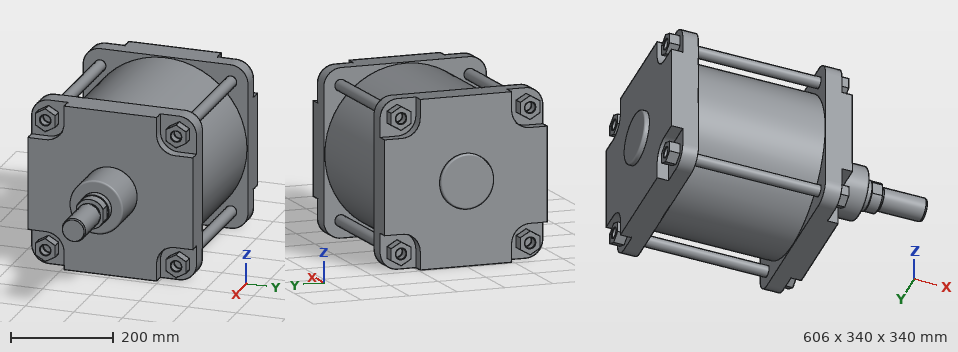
import cadquery as cq

TOTAL_LENGTH = 606.0
REAR_FACE_X = 9.5
REAR_RECESS_DEPTH = 23.5
CAP_THICKNESS = 56.5
BARREL_LENGTH = 266.5
FRONT_RECESS_DEPTH = 22.0
FRONT_BOSS_LENGTH = 82.5

BARREL_START_X = REAR_FACE_X + CAP_THICKNESS
BARREL_END_X = BARREL_START_X + BARREL_LENGTH
FRONT_FACE_X = BARREL_END_X + CAP_THICKNESS
BOSS_END_X = FRONT_FACE_X + FRONT_BOSS_LENGTH

CAP_SIDE = 340.0
CAP_CORNER_RADIUS = 36.5
RECESS_SIDE = 74.5
RECESS_CORNER_RADIUS = 38.0
BOSS_DIAMETER = 110.0
BOSS_EDGE_RADIUS = 3.5
BARREL_DIAMETER = 336.0

TIE_ROD_PITCH = 269.5
TIE_ROD_DIAMETER = 23.5
NUT_ACROSS_FLATS = 41.0
NUT_SETBACK = 2.0
SOCKET_DIAMETER = 21.0
SOCKET_CHAMFER = (TIE_ROD_DIAMETER - SOCKET_DIAMETER) / 2
HEX_CORNER_RATIO = 2 / 3 ** 0.5

COLLAR_DIAMETER = 63.0
COLLAR_LENGTH = 16.5
COLLAR_CHAMFER_LENGTH = 2.0
FLATS_DIAMETER = 61.0
FLATS_LENGTH = 22.0
FLATS_WIDTH = 55.0
THREAD_DIAMETER = 48.0
THREAD_TIP_CHAMFER_LENGTH = 3.5
THREAD_TIP_CHAMFER_DEPTH = 2.0
NECK_DIAMETER = 43.5
NECK_LENGTH = 5.5

tie_rod_positions = [
    (y_side * TIE_ROD_PITCH / 2, z_side * TIE_ROD_PITCH / 2)
    for y_side in (-1, 1)
    for z_side in (-1, 1)
]


def plane_at(x):
    """Workplane across the axis: local x is +Y, local y is +Z, normal is +X."""
    return cq.Workplane("YZ", origin=(x, 0, 0))


def corner_recesses(start_x, depth):
    """Four square cutters, one per cap corner, with rounded inner corners."""
    cutter_side = 2 * RECESS_SIDE
    return (
        plane_at(start_x)
        .rect(CAP_SIDE, CAP_SIDE, forConstruction=True)
        .vertices()
        .rect(cutter_side, cutter_side)
        .extrude(depth)
        .edges("|X")
        .fillet(RECESS_CORNER_RADIUS)
    )


def make_cap(start_x, recess_start_x, recess_depth):
    """Square end plate with rounded corners, nut recesses and tie rod holes."""
    plate = plane_at(start_x).rect(CAP_SIDE, CAP_SIDE).extrude(CAP_THICKNESS)
    plate = plate.edges("|X").fillet(CAP_CORNER_RADIUS)
    plate = plate.cut(corner_recesses(recess_start_x, recess_depth))
    tie_rod_holes = (
        plane_at(start_x)
        .pushPoints(tie_rod_positions)
        .circle(TIE_ROD_DIAMETER / 2)
        .extrude(CAP_THICKNESS)
    )
    return plate.cut(tie_rod_holes)


def make_rear_cap():
    """Rear end plate with a short spigot, rounded at its rim."""
    plate = make_cap(REAR_FACE_X, REAR_FACE_X, REAR_RECESS_DEPTH)
    spigot = plane_at(0).circle(BOSS_DIAMETER / 2).extrude(REAR_FACE_X)
    return plate.union(spigot.faces("<X").edges().fillet(BOSS_EDGE_RADIUS))


def make_front_cap():
    """Front end plate with the long rod guide boss and a bore for the piston rod."""
    recess_start_x = FRONT_FACE_X - FRONT_RECESS_DEPTH
    plate = make_cap(BARREL_END_X, recess_start_x, FRONT_RECESS_DEPTH)
    boss = plane_at(FRONT_FACE_X).circle(BOSS_DIAMETER / 2).extrude(FRONT_BOSS_LENGTH)
    bore = plane_at(BARREL_END_X).circle(COLLAR_DIAMETER / 2).extrude(BOSS_END_X - BARREL_END_X)
    return plate.union(boss.faces(">X").edges().fillet(BOSS_EDGE_RADIUS)).cut(bore)


def make_barrel():
    """Round body clamped between the two caps."""
    return plane_at(BARREL_START_X).circle(BARREL_DIAMETER / 2).extrude(BARREL_LENGTH)


def make_piston_rod():
    """Turned rod: guide and collar, section with wrench flats, neck, threaded end."""
    collar_end_x = BOSS_END_X + COLLAR_LENGTH
    flats_end_x = collar_end_x + FLATS_LENGTH
    neck_end_x = flats_end_x + NECK_LENGTH
    profile = [
        (BARREL_END_X, 0),
        (BARREL_END_X, COLLAR_DIAMETER / 2),
        (collar_end_x - COLLAR_CHAMFER_LENGTH, COLLAR_DIAMETER / 2),
        (collar_end_x, FLATS_DIAMETER / 2),
        (flats_end_x, FLATS_DIAMETER / 2),
        (flats_end_x, NECK_DIAMETER / 2),
        (neck_end_x, NECK_DIAMETER / 2),
        (neck_end_x, THREAD_DIAMETER / 2),
        (TOTAL_LENGTH - THREAD_TIP_CHAMFER_LENGTH, THREAD_DIAMETER / 2),
        (TOTAL_LENGTH, THREAD_DIAMETER / 2 - THREAD_TIP_CHAMFER_DEPTH),
        (TOTAL_LENGTH, 0),
    ]
    rod = cq.Workplane("XY").polyline(profile).close().revolve(360, (0, 0, 0), (1, 0, 0))
    flats_section = plane_at(collar_end_x).circle(FLATS_DIAMETER / 2).extrude(FLATS_LENGTH)
    flats_envelope = plane_at(collar_end_x).rect(FLATS_WIDTH, FLATS_DIAMETER).extrude(FLATS_LENGTH)
    return rod.cut(flats_section.cut(flats_envelope))


def make_nut(start_x, height, y, z):
    """Hexagonal nut with corners pointing up and down."""
    return (
        plane_at(start_x)
        .center(y, z)
        .transformed(rotate=(0, 0, 90))
        .polygon(6, NUT_ACROSS_FLATS * HEX_CORNER_RATIO)
        .extrude(height)
    )


def make_tie_rod(y, z):
    """Rod through both caps with a hexagonal nut and a countersunk socket at each end."""
    rear_seat_x = REAR_FACE_X + REAR_RECESS_DEPTH
    front_seat_x = FRONT_FACE_X - FRONT_RECESS_DEPTH
    rear_nut_height = REAR_RECESS_DEPTH - NUT_SETBACK
    front_nut_height = FRONT_RECESS_DEPTH - NUT_SETBACK
    shank_length = front_seat_x - rear_seat_x
    rod = plane_at(rear_seat_x).center(y, z).circle(TIE_ROD_DIAMETER / 2).extrude(shank_length)
    rod = rod.union(make_nut(REAR_FACE_X + NUT_SETBACK, rear_nut_height, y, z))
    rod = rod.union(make_nut(front_seat_x, front_nut_height, y, z))
    for end, socket_depth in (("<X", rear_nut_height), (">X", front_nut_height)):
        rod = rod.faces(end).workplane(origin=(0, y, z)).hole(SOCKET_DIAMETER, socket_depth)
        rod = rod.faces(end).edges("%CIRCLE").chamfer(SOCKET_CHAMFER)
    return rod


rear_cap = make_rear_cap()
barrel = make_barrel()
front_cap = make_front_cap()
piston_rod = make_piston_rod()
tie_rods = [make_tie_rod(y, z) for y, z in tie_rod_positions]

result = cq.Compound.makeCompound([
    rear_cap.val(),
    barrel.val(),
    front_cap.val(),
    piston_rod.val(),
    *[tie_rod.val() for tie_rod in tie_rods],
])